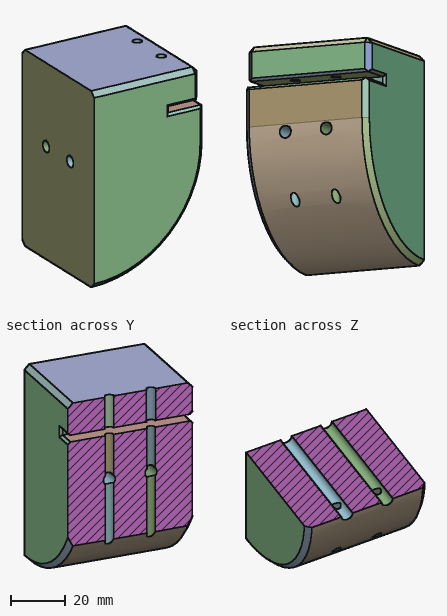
import cadquery as cq
import math

width = 50.0
depth = 47.7
height = 77.9
edge_chamfer = 2.0

slot_top = 65.0
slot_gap = 2.5
slot_floor = slot_top - slot_gap
slot_end = 32.5
slot_chamfer = 1.0
lip_depth = 45.5

hole_spacing = 16.7
front_hole_diameter = 4.5
front_hole_z = 44.7
lip_hole_diameter = 3.5
base_hole_diameter = 3.2
vertical_hole_y = 39.25

margin = 0.1


def quarter_round_body():
    """Quarter-round body, used below the slot, with its sides chamfered along the back outline."""
    arc_mid = depth * math.sqrt(0.5)
    body = (
        cq.Workplane("YZ")
        .lineTo(0, height)
        .lineTo(depth, height)
        .lineTo(depth, depth)
        .threePointArc((arc_mid, depth - arc_mid), (0, 0))
        .close()
        .extrude(width / 2, both=True)
    )
    side_faces = body.faces("<X or >X")
    back_edges = side_faces.edges(cq.selectors.BoxSelector(
        (-width, margin, -margin), (width, depth + margin, height - margin)))
    return back_edges.chamfer(edge_chamfer)


def lip_block():
    """Block above the slot, chamfered around its back and top edges."""
    block = cq.Workplane("XY").box(width, lip_depth, height, centered=(True, False, False))
    return block.edges("(|Z and >Y) or (|Y and >Z) or (>Y and >Z)").chamfer(edge_chamfer)


def box_between(y_start, y_end, z_start, z_end):
    """Box spanning the full width between the given Y and Z limits."""
    return cq.Workplane("XY").box(
        width, y_end - y_start, z_end - z_start, centered=(True, False, False)
    ).translate((0, y_start, z_start))


def chamfer_slot(body):
    """Bevel the slot's rim on both sides and at its mouth."""
    slot_roof = body.faces(cq.selectors.BoxSelector(
        (-width, slot_end, slot_top - margin), (width, depth, slot_top + margin)))
    slot_base = body.faces(cq.selectors.BoxSelector(
        (-width, slot_end, slot_floor - margin), (width, depth, slot_floor + margin)))
    inner_edges = slot_roof.edges("not(|X and <Y)").add(slot_base.edges("not(|X and <Y)"))
    end_edges = body.edges(cq.selectors.BoxSelector(
        (-width, slot_end - margin, slot_floor + margin), (width, slot_end + margin, slot_top - margin)))
    return inner_edges.add(end_edges).chamfer(slot_chamfer)


slotted_blocks = box_between(0, depth, 0, slot_floor).union(box_between(0, lip_depth, slot_floor, height))
slotted_blocks = slotted_blocks.cut(box_between(slot_end, depth, slot_floor, slot_top))
slotted_blocks = chamfer_slot(slotted_blocks)

lower_part = quarter_round_body().intersect(box_between(0, depth, 0, slot_floor))
upper_part = lip_block().intersect(box_between(0, depth, slot_floor, height))
body = lower_part.union(upper_part).intersect(slotted_blocks)

for x in (-hole_spacing / 2, hole_spacing / 2):
    front_hole = (
        cq.Workplane("XZ")
        .center(x, front_hole_z)
        .circle(front_hole_diameter / 2)
        .extrude(-depth)
    )
    vertical_axis = cq.Workplane("XY").center(x, vertical_hole_y)
    base_hole = vertical_axis.circle(base_hole_diameter / 2).extrude(height)
    lip_hole = (
        vertical_axis.workplane(offset=slot_top)
        .circle(lip_hole_diameter / 2)
        .extrude(height - slot_top)
    )
    body = body.cut(front_hole).cut(base_hole).cut(lip_hole)

result = body